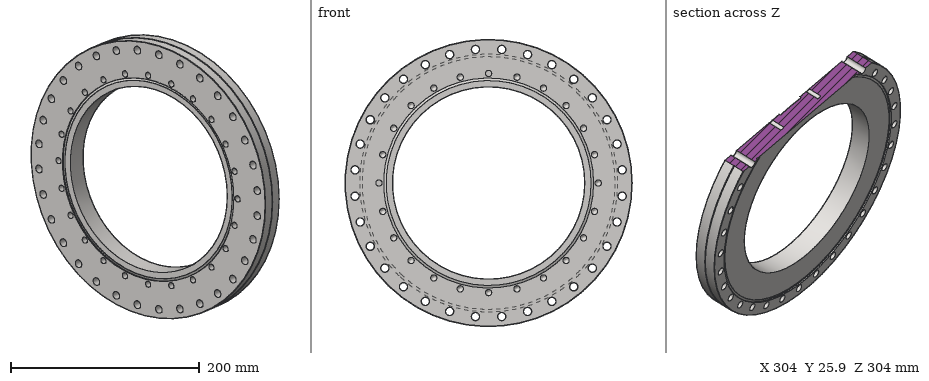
import cadquery as cq
import math

outer_diameter = 304.0
thickness = 25.9
bore_diameter = 203.2
rim_chamfer = 0.5

rim_groove_width = 1.0
rim_groove_depth = 0.5

front_seat_diameter = 222.2
back_seat_diameter = 273.1
sealing_edge_width = 2.7
sealing_edge_recess = 0.7
land_recess = 1.2
sealing_slope_angle = 20.0

bolt_hole_diameter = 8.4
bolt_circle_diameter = 284.0
bolt_count = 32
bolt_spacing = 360.0 / bolt_count
bolt_start_angle = bolt_spacing / 2

tap_hole_diameter = 6.65
tap_circle_diameter = 231.9
tap_count = 24
tap_spacing = 360.0 / tap_count
tap_hole_depth = 16.0
drill_point_angle = 118.0
flat_tap_angles = (90.0, 180.0)

front_y = -thickness / 2
back_y = thickness / 2


def seat_points(seat_diameter, face_y, inward):
    """Section points from the bore out to the seat wall; inward is the Y sign into the ring."""
    seat_radius = seat_diameter / 2
    edge_radius = seat_radius - sealing_edge_width
    edge_y = face_y + inward * sealing_edge_recess
    slope_drop = sealing_edge_width * math.tan(math.radians(sealing_slope_angle))
    land_y = face_y + inward * land_recess
    return [
        (bore_diameter / 2, land_y),
        (edge_radius, land_y),
        (edge_radius, edge_y),
        (seat_radius, edge_y + inward * slope_drop),
        (seat_radius, face_y),
    ]


def ring_body():
    """Revolve the half section, drawn as (radius, y), about the Y axis."""
    outer_radius = outer_diameter / 2
    half_groove = rim_groove_width / 2
    rim_points = [
        (outer_radius - rim_chamfer, front_y),
        (outer_radius, front_y + rim_chamfer),
        (outer_radius, -half_groove),
        (outer_radius - rim_groove_depth, 0),
        (outer_radius, half_groove),
        (outer_radius, back_y - rim_chamfer),
        (outer_radius - rim_chamfer, back_y),
    ]
    front_points = seat_points(front_seat_diameter, front_y, 1)
    back_points = seat_points(back_seat_diameter, back_y, -1)
    section = front_points + rim_points + back_points[::-1]
    return cq.Workplane("XY").polyline(section).close().revolve(360, (0, 0, 0), (0, 1, 0))


def drill(diameter, depth, point_height=0.0):
    """Drill along +Y from the front face; a zero point height leaves a flat bottom."""
    radius = diameter / 2
    bottom_y = front_y + depth
    profile = [(0, front_y), (radius, front_y), (radius, bottom_y), (0, bottom_y + point_height)]
    return cq.Workplane("XY").polyline(profile).close().revolve(360, (0, 0, 0), (0, 1, 0))


def hole_ring(tool, circle_diameter, angles):
    """Copies of a hole tool on a circle; angles in degrees, from +X toward +Z."""
    on_circle = tool.translate((circle_diameter / 2, 0, 0))
    tools = cq.Workplane("XY")
    for angle in angles:
        tools = tools.add(on_circle.rotate((0, 0, 0), (0, 1, 0), -angle))
    return tools.combine()


def bolt_holes():
    angles = [bolt_start_angle + index * bolt_spacing for index in range(bolt_count)]
    return hole_ring(drill(bolt_hole_diameter, thickness), bolt_circle_diameter, angles)


def pointed_tap_holes():
    point_height = tap_hole_diameter / 2 / math.tan(math.radians(drill_point_angle / 2))
    all_angles = [index * tap_spacing for index in range(tap_count)]
    angles = [angle for angle in all_angles if angle not in flat_tap_angles]
    return hole_ring(drill(tap_hole_diameter, tap_hole_depth, point_height), tap_circle_diameter, angles)


def flat_tap_holes():
    return hole_ring(drill(tap_hole_diameter, tap_hole_depth), tap_circle_diameter, flat_tap_angles)


result = ring_body().cut(bolt_holes()).cut(pointed_tap_holes()).cut(flat_tap_holes())